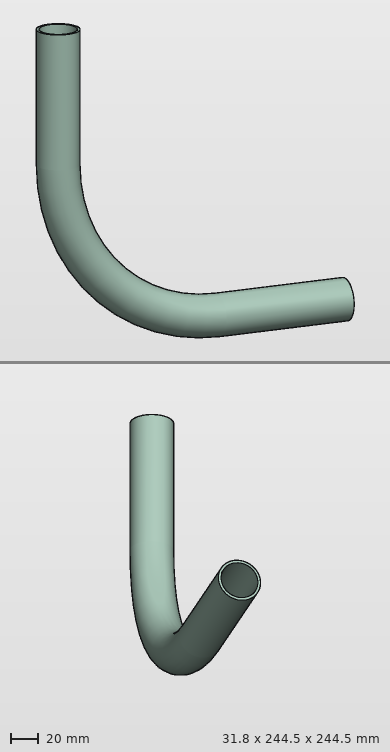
import cadquery as cq
import math

overall_size = 244.5
outer_diameter = 31.8
inner_diameter = 27.6
straight_length = 101.5

leg_reach = overall_size - outer_diameter / 2
bend_radius = leg_reach - straight_length

diagonal_offset = bend_radius * (1 - math.cos(math.radians(45)))

centreline = (
    cq.Workplane("YZ")
    .moveTo(0, leg_reach)
    .lineTo(0, bend_radius)
    .threePointArc((diagonal_offset, diagonal_offset), (bend_radius, 0))
    .lineTo(leg_reach, 0)
)

result = (
    cq.Workplane("XY")
    .workplane(offset=leg_reach)
    .circle(outer_diameter / 2)
    .circle(inner_diameter / 2)
    .sweep(centreline)
)